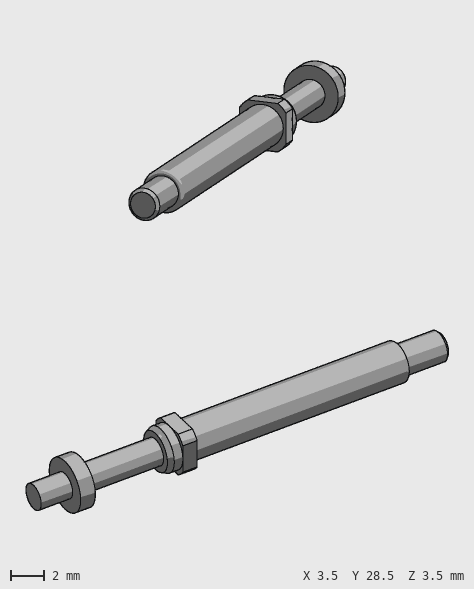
import cadquery as cq

total_length = 28.5

plunger_diameter = 2.0
plunger_length = 3.0
plunger_chamfer = 0.2

body_diameter = 2.65
body_length = 15.02
body_rounding = 0.2

head_diameter = 3.0
wrench_length = 1.0
wrench_corner_diameter = 3.55
head_round_length = 0.97
head_taper_length = 0.37
head_taper_depth = 0.17

neck_diameter = 1.8
neck_length = 5.3

collar_diameter = 3.5
collar_length = 1.03

tail_diameter = 1.7

body_start = plunger_length
wrench_start = body_start + body_length
head_start = wrench_start + wrench_length
neck_start = head_start + head_round_length
collar_start = neck_start + neck_length
tail_start = collar_start + collar_length


def cylinder(diameter, start, end):
    """Round bar along Y between two stations."""
    profile = cq.Workplane("XZ", origin=(0, start, 0)).circle(diameter / 2)
    return profile.extrude(start - end)


def plunger():
    """Tip of the pin with a chamfered free end."""
    return cylinder(plunger_diameter, 0, body_start).faces("<Y").chamfer(plunger_chamfer)


def body():
    """Long barrel with a rounded rim at its plunger end."""
    return cylinder(body_diameter, body_start, wrench_start).faces("<Y").edges().fillet(body_rounding)


def wrench_section():
    """Four flats, as far apart as the head is wide, with round corners between them."""
    square = cq.Workplane("XZ", origin=(0, wrench_start, 0)).rect(head_diameter, head_diameter)
    corners = cylinder(wrench_corner_diameter, wrench_start, head_start)
    return square.extrude(-wrench_length).intersect(corners)


def head():
    """Round head that tapers steeply towards the neck."""
    blank = cylinder(head_diameter, head_start, neck_start)
    return blank.faces(">Y").chamfer(head_taper_length, head_taper_depth)


neck = cylinder(neck_diameter, neck_start, collar_start)
collar = cylinder(collar_diameter, collar_start, tail_start)
tail = cylinder(tail_diameter, tail_start, total_length)

result = plunger()
for section in (body(), wrench_section(), head(), neck, collar, tail):
    result = result.union(section)